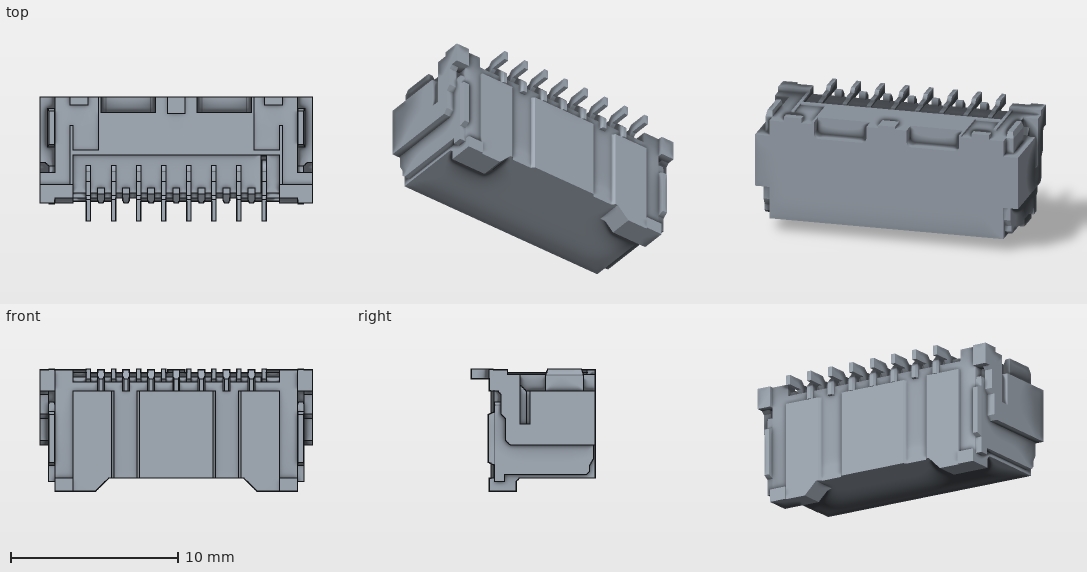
import cadquery as cq
import math


PIN_COUNT = 8
PITCH = 1.5
PIN_WIDTH = 0.27
TAIL_END_Y = -7.43
TAIL_HEIGHT = 0.6
PIN_ARC_RADIUS = 0.68
PIN_ARC_END_Y = -4.46
PIN_ROOT_Z = -1.25
LAST_PIN_CLEARANCE = 0.05
PIN_LOW_Z = -0.37
PIN_MID_Z = -0.25
PIN_MID_START_Y = -5.05
PIN_RAMP_START_Y = -5.89
LUG_WIDTH = 0.41
LUG_NOSE_WIDTH = 0.24
LUG_BACK_Y = -5.45
LUG_RAMP_START_Y = -5.8

BLOCK_TOP_Z = -0.05
DECK_Z = -0.22
OUTER_DECK_Z = -0.35
PIN_FLOOR_Z = -0.48
LEDGE_Z = -0.78
SHOULDER_Z = -1.32
BODY_BOTTOM_Z = -6.54
FOOT_BOTTOM_Z = -7.32

RECESS_Y = -6.05
PANEL_Y = -6.25
FRONT_Y = -6.35
BLOCK_BACK_Y = -5.25
PIN_FLOOR_BACK_Y = -3.48
LEDGE_BACK_Y = -5.74

WING_X = 8.15
CHEEK_X = 7.65
BODY_X = 7.25
RIM_X = 6.36
WELL_X = 6.17

POCKET_INNER_X = 4.64
POCKET_FRONT_Y = -3.18
RIM_BACK_Y = -1.71
TAB_INNER_X = 5.27
TAB_LENGTH = 0.49
PAD_HALF_WIDTH = 0.52
PAD_LENGTH = 1.0
NOTCH_OUTER_X = 4.5
NOTCH_INNER_X = 1.25
NOTCH_LENGTH = 0.93
NOTCH_FLOOR_Z = -1.25
NOTCH_FILLET = 0.3

SIDE_PANEL_INNER_X = 3.87
MIDDLE_PANEL_HALF_WIDTH = 2.2
PANEL_BEVEL = 0.16

FOOT_BACK_Y = -4.73
FOOT_BACK_CHAMFER = 0.19
FOOT_INNER_X = 4.83
FOOT_SLOPE_END_X = 4.03

WING_BOTTOM_Z = -4.56
WING_FRONT_Y = -5.65
WING_TOP_FLARE = 0.2
WING_STEP_Z = -2.7
WING_STEP = 0.28
WING_BOTTOM_CHAMFER = 0.28
CHEEK_BOTTOM_Z = -6.33
CHEEK_BACK_Y = -0.11
CHEEK_LOW_BACK_Y = -0.36
CHEEK_CORNER_CHAMFER = 0.18
CHEEK_SLOPE_START_Z = -5.36
CHEEK_SLOPE_END_Z = -5.8
SLOT_BACK_Y = -3.92
SLOT_FRONT_Y = -4.52
SLOT_BOTTOM_Z = -3.3
SLOT_INNER_X = 7.62
SLOT_CHAMFER = 0.21
RAMP_RISE = 0.38

NAIL_OUTER_X = 7.69
NAIL_TOP_BEVEL_Z = -0.37
NAIL_SIDE_BEVEL = 0.08
NAIL_BACK_Y = -0.7
NAIL_FRONT_Y = -2.98
NAIL_BEVEL_LENGTH = 0.13
FRONT_NAIL_Y = -6.41
FRONT_NAIL_TOP_Z = -2.55
FRONT_NAIL_BOTTOM_Z = -5.77
FRONT_NAIL_BEVEL = 0.18
FRONT_NAIL_SIDE_BEVEL = 0.04
PLATE_FRONT_Y = -6.02
PLATE_BACK_Y = -5.42
PLATE_TOP_Z = -1.97
PLATE_BOTTOM_Z = -6.74
PLATE_CHAMFER = (0.06, 0.2)


def box(x_range, y_range, z_range):
    """Axis-aligned block between pairs of coordinates."""
    low = [min(pair) for pair in (x_range, y_range, z_range)]
    size = [abs(pair[1] - pair[0]) for pair in (x_range, y_range, z_range)]
    return cq.Workplane("XY").box(*size, centered=False).translate(tuple(low))


def side_prism(yz_points, x_range):
    """Outline in the YZ plane, extruded along X."""
    outline = cq.Workplane("YZ").polyline(yz_points).close()
    return outline.extrude(x_range[1] - x_range[0]).translate((x_range[0], 0, 0))


def front_prism(xz_points, y_range):
    """Outline in the XZ plane, extruded from the first Y toward the second, lower one."""
    outline = cq.Workplane("XZ").polyline(xz_points).close()
    return outline.extrude(y_range[0] - y_range[1]).translate((0, y_range[0], 0))


def plan_prism(xy_points, z_range):
    """Outline in the XY plane, extruded between two heights."""
    outline = cq.Workplane("XY").polyline(xy_points).close()
    return outline.extrude(z_range[1] - z_range[0]).translate((0, 0, z_range[0]))


def both_sides(shape):
    return shape.union(shape.mirror("YZ"))


def make_body():
    """Central block with its raised deck, pin floor and the ledge in front of the floor."""
    body = box((-BODY_X, BODY_X), (0, RECESS_Y), (BODY_BOTTOM_Z, OUTER_DECK_Z))
    deck_depths = (OUTER_DECK_Z, DECK_Z)
    deck = box((-RIM_X, RIM_X), (RIM_BACK_Y, BLOCK_BACK_Y), deck_depths)
    deck = deck.union(box((-POCKET_INNER_X, POCKET_INNER_X), (0, RIM_BACK_Y), deck_depths))
    deck = deck.cut(both_sides(
        box((-WELL_X, -POCKET_INNER_X), (0, POCKET_FRONT_Y), deck_depths)))
    corner = box((-BODY_X, -WELL_X), (BLOCK_BACK_Y, RECESS_Y), (OUTER_DECK_Z, BLOCK_TOP_Z))
    body = body.union(deck).union(both_sides(corner))
    body = body.cut(box((-WELL_X, WELL_X), (PIN_FLOOR_BACK_Y, RECESS_Y), (PIN_FLOOR_Z, 0)))
    return body.cut(box((-WELL_X, WELL_X), (LEDGE_BACK_Y, RECESS_Y), (LEDGE_Z, 0)))


def make_notch():
    """Round-cornered gap in the deck, open to the mating face."""
    notch = box((-NOTCH_OUTER_X, -NOTCH_INNER_X), (0, -NOTCH_LENGTH), (NOTCH_FLOOR_Z, 0))
    return notch.edges("|Y and <Z").fillet(NOTCH_FILLET)


def make_deck_tabs():
    pad = box((-PAD_HALF_WIDTH, PAD_HALF_WIDTH), (0, -PAD_LENGTH), (DECK_Z, BLOCK_TOP_Z))
    tab = box((-RIM_X, -TAB_INNER_X), (0, -TAB_LENGTH), (OUTER_DECK_Z, BLOCK_TOP_Z))
    return pad.union(both_sides(tab))


def make_front_panels():
    """Three bevelled panels standing proud of the front wall."""
    z_range = (BODY_BOTTOM_Z, SHOULDER_Z)
    middle = plan_prism([
        (-MIDDLE_PANEL_HALF_WIDTH - PANEL_BEVEL, RECESS_Y),
        (MIDDLE_PANEL_HALF_WIDTH + PANEL_BEVEL, RECESS_Y),
        (MIDDLE_PANEL_HALF_WIDTH, PANEL_Y),
        (-MIDDLE_PANEL_HALF_WIDTH, PANEL_Y),
    ], z_range)
    side = plan_prism([
        (-WELL_X, RECESS_Y),
        (-SIDE_PANEL_INNER_X + PANEL_BEVEL, RECESS_Y),
        (-SIDE_PANEL_INNER_X, PANEL_Y),
        (-WELL_X, PANEL_Y),
    ], z_range)
    return middle.union(both_sides(side))


def make_foot():
    """Sloped foot under one end of the body, with a block at its outer front corner."""
    across = front_prism([
        (-BODY_X, BODY_BOTTOM_Z),
        (-FOOT_SLOPE_END_X, BODY_BOTTOM_Z),
        (-FOOT_INNER_X, FOOT_BOTTOM_Z),
        (-BODY_X, FOOT_BOTTOM_Z),
    ], (0, PANEL_Y))
    along = side_prism([
        (FOOT_BACK_Y + FOOT_BACK_CHAMFER, BODY_BOTTOM_Z),
        (FOOT_BACK_Y, BODY_BOTTOM_Z - FOOT_BACK_CHAMFER),
        (FOOT_BACK_Y, FOOT_BOTTOM_Z),
        (FRONT_Y, FOOT_BOTTOM_Z),
        (FRONT_Y, BODY_BOTTOM_Z),
    ], (-BODY_X, 0))
    block = box((-BODY_X, -WELL_X), (RECESS_Y, FRONT_Y), (FOOT_BOTTOM_Z, BODY_BOTTOM_Z))
    return across.intersect(along).union(block)


def make_wing():
    """Outer side plate, the corner block above it and the cheek that joins them to the body."""
    plate = side_prism([
        (0, SHOULDER_Z),
        (WING_FRONT_Y - WING_TOP_FLARE, SHOULDER_Z),
        (WING_FRONT_Y, SHOULDER_Z - WING_TOP_FLARE),
        (WING_FRONT_Y, WING_STEP_Z),
        (WING_FRONT_Y + WING_STEP, WING_STEP_Z - WING_STEP),
        (WING_FRONT_Y + WING_STEP, WING_BOTTOM_Z + WING_BOTTOM_CHAMFER),
        (WING_FRONT_Y + WING_STEP + WING_BOTTOM_CHAMFER, WING_BOTTOM_Z),
        (0, WING_BOTTOM_Z),
    ], (-WING_X, -CHEEK_X))
    cheek = side_prism([
        (0, SHOULDER_Z),
        (PLATE_BACK_Y, SHOULDER_Z),
        (PLATE_BACK_Y, CHEEK_BOTTOM_Z),
        (CHEEK_LOW_BACK_Y - CHEEK_CORNER_CHAMFER, CHEEK_BOTTOM_Z),
        (CHEEK_LOW_BACK_Y, CHEEK_BOTTOM_Z + CHEEK_CORNER_CHAMFER),
        (CHEEK_LOW_BACK_Y, CHEEK_SLOPE_END_Z),
        (CHEEK_BACK_Y, CHEEK_SLOPE_START_Z),
        (CHEEK_BACK_Y, WING_BOTTOM_Z),
        (0, WING_BOTTOM_Z),
    ], (-CHEEK_X, -BODY_X))
    block = box((-WING_X, -BODY_X), (SLOT_FRONT_Y, BLOCK_BACK_Y), (SHOULDER_Z, OUTER_DECK_Z))
    corner = box((-WING_X, -BODY_X), (BLOCK_BACK_Y, FRONT_Y), (SHOULDER_Z, BLOCK_TOP_Z))
    ramp = side_prism([
        (SLOT_FRONT_Y + RAMP_RISE, SHOULDER_Z),
        (SLOT_FRONT_Y, SHOULDER_Z),
        (SLOT_FRONT_Y, SHOULDER_Z + RAMP_RISE),
    ], (-SLOT_INNER_X, -BODY_X))
    slot = plan_prism([
        (-WING_X, SLOT_BACK_Y),
        (-SLOT_INNER_X - SLOT_CHAMFER, SLOT_BACK_Y),
        (-SLOT_INNER_X, SLOT_BACK_Y - SLOT_CHAMFER),
        (-SLOT_INNER_X, SLOT_FRONT_Y),
        (-WING_X, SLOT_FRONT_Y),
    ], (SLOT_BOTTOM_Z, SHOULDER_Z))
    return plate.union(cheek).union(block).union(corner).union(ramp).cut(slot)


def make_top_nail():
    along = side_prism([
        (NAIL_BACK_Y, SHOULDER_Z),
        (NAIL_BACK_Y, NAIL_TOP_BEVEL_Z),
        (NAIL_BACK_Y - NAIL_BEVEL_LENGTH, 0),
        (NAIL_FRONT_Y + NAIL_BEVEL_LENGTH, 0),
        (NAIL_FRONT_Y, NAIL_TOP_BEVEL_Z),
        (NAIL_FRONT_Y, SHOULDER_Z),
    ], (-NAIL_OUTER_X, -BODY_X))
    across = front_prism([
        (-NAIL_OUTER_X, SHOULDER_Z),
        (-NAIL_OUTER_X, NAIL_TOP_BEVEL_Z),
        (-NAIL_OUTER_X + NAIL_SIDE_BEVEL, 0),
        (-BODY_X - NAIL_SIDE_BEVEL / 2, 0),
        (-BODY_X, NAIL_TOP_BEVEL_Z),
        (-BODY_X, SHOULDER_Z),
    ], (0, FRONT_Y))
    return along.intersect(across)


def make_front_nail():
    """Plate standing in front of the cheek, with a bevelled solder face."""
    chamfer_x, chamfer_z = PLATE_CHAMFER
    plate = front_prism([
        (-CHEEK_X, PLATE_BOTTOM_Z),
        (-CHEEK_X, PLATE_TOP_Z - chamfer_z),
        (-CHEEK_X + chamfer_x, PLATE_TOP_Z),
        (-BODY_X - chamfer_x, PLATE_TOP_Z),
        (-BODY_X, PLATE_TOP_Z - chamfer_z),
        (-BODY_X, PLATE_BOTTOM_Z),
    ], (PLATE_BACK_Y, PLATE_FRONT_Y))
    face = side_prism([
        (PLATE_FRONT_Y, FRONT_NAIL_TOP_Z),
        (FRONT_NAIL_Y, FRONT_NAIL_TOP_Z - FRONT_NAIL_BEVEL),
        (FRONT_NAIL_Y, FRONT_NAIL_BOTTOM_Z + FRONT_NAIL_BEVEL),
        (PLATE_FRONT_Y, FRONT_NAIL_BOTTOM_Z),
    ], (-CHEEK_X, -BODY_X))
    plan = plan_prism([
        (-CHEEK_X, PLATE_FRONT_Y),
        (-CHEEK_X + FRONT_NAIL_SIDE_BEVEL, FRONT_NAIL_Y),
        (-BODY_X - FRONT_NAIL_SIDE_BEVEL, FRONT_NAIL_Y),
        (-BODY_X, PLATE_FRONT_Y),
    ], (FRONT_NAIL_BOTTOM_Z, FRONT_NAIL_TOP_Z))
    return plate.union(face.intersect(plan))


def make_pin(x):
    """Contact that curves up out of the floor and steps up to its solder tail."""
    arc_center_z = PIN_LOW_Z - PIN_ARC_RADIUS
    arc_start_y = PIN_ARC_END_Y + PIN_ARC_RADIUS
    half_chord = PIN_ARC_RADIUS * math.sqrt(0.5)
    ramp_end_y = PIN_RAMP_START_Y + PIN_MID_Z
    profile = (
        cq.Workplane("YZ")
        .moveTo(arc_start_y, arc_center_z)
        .threePointArc(
            (PIN_ARC_END_Y + half_chord, arc_center_z + half_chord),
            (PIN_ARC_END_Y, PIN_LOW_Z),
        )
        .lineTo(PIN_MID_START_Y, PIN_LOW_Z)
        .lineTo(PIN_MID_START_Y, PIN_MID_Z)
        .lineTo(PIN_RAMP_START_Y, PIN_MID_Z)
        .lineTo(ramp_end_y, 0)
        .lineTo(TAIL_END_Y, 0)
        .lineTo(TAIL_END_Y, -TAIL_HEIGHT)
        .lineTo(PANEL_Y, -TAIL_HEIGHT)
        .lineTo(RECESS_Y, LEDGE_Z)
        .lineTo(RECESS_Y, PIN_ROOT_Z)
        .lineTo(arc_start_y, PIN_ROOT_Z)
        .close()
    )
    return profile.extrude(PIN_WIDTH / 2, both=True).translate((x, 0, 0))


def make_lug(x):
    """Ramped guide post between two pins, tapered in plan toward its nose."""
    ramp_drop = LUG_RAMP_START_Y - FRONT_Y
    taper = (LUG_WIDTH - LUG_NOSE_WIDTH) / 2
    ramped = side_prism([
        (LUG_BACK_Y, SHOULDER_Z),
        (LUG_BACK_Y, BLOCK_TOP_Z),
        (LUG_RAMP_START_Y, BLOCK_TOP_Z),
        (FRONT_Y, BLOCK_TOP_Z - ramp_drop),
        (FRONT_Y, SHOULDER_Z),
    ], (-LUG_WIDTH / 2, LUG_WIDTH / 2))
    plan = plan_prism([
        (-LUG_WIDTH / 2, LUG_BACK_Y),
        (LUG_WIDTH / 2, LUG_BACK_Y),
        (LUG_WIDTH / 2, FRONT_Y + 2 * taper),
        (LUG_NOSE_WIDTH / 2, FRONT_Y),
        (-LUG_NOSE_WIDTH / 2, FRONT_Y),
        (-LUG_WIDTH / 2, FRONT_Y + 2 * taper),
    ], (SHOULDER_Z, BLOCK_TOP_Z))
    return ramped.intersect(plan).translate((x, 0, 0))


def make_last_pin_slot(x):
    """Slot in the pin floor that exposes the root of the last contact."""
    return box(
        (x - PIN_WIDTH / 2 - LAST_PIN_CLEARANCE, x + PIN_WIDTH / 2),
        (PIN_FLOOR_BACK_Y - LAST_PIN_CLEARANCE, LEDGE_BACK_Y),
        (PIN_ROOT_Z, 0),
    )


first_pin_x = -(PIN_COUNT - 1) * PITCH / 2
last_pin_x = -first_pin_x

result = make_body().cut(both_sides(make_notch())).cut(make_last_pin_slot(last_pin_x))
result = result.union(make_deck_tabs()).union(make_front_panels())
for side_part in (make_foot(), make_wing(), make_top_nail(), make_front_nail()):
    result = result.union(both_sides(side_part))
for index in range(PIN_COUNT):
    result = result.union(make_pin(first_pin_x + index * PITCH))
for index in range(PIN_COUNT - 1):
    result = result.union(make_lug(first_pin_x + (index + 0.5) * PITCH))